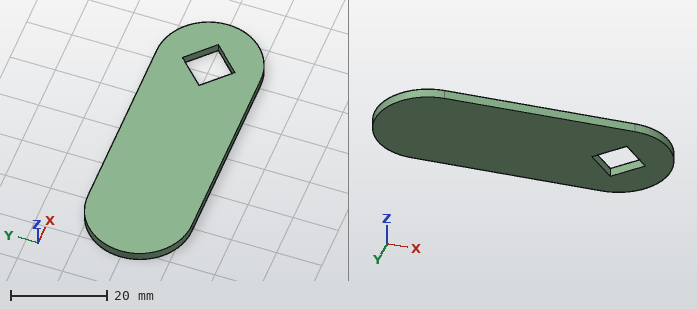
import cadquery as cq

length = 64.5
width = 23.0
thickness = 2.0
hole_side = 8.2

end_center_x = (length - width) / 2
hole_turn = 45.0

plate = cq.Workplane("XY").slot2D(length, width).extrude(thickness)

square_hole = (
    cq.Workplane("XY")
    .center(end_center_x, 0)
    .transformed(rotate=(0, 0, hole_turn))
    .rect(hole_side, hole_side)
    .extrude(thickness)
)

result = plate.cut(square_hole)